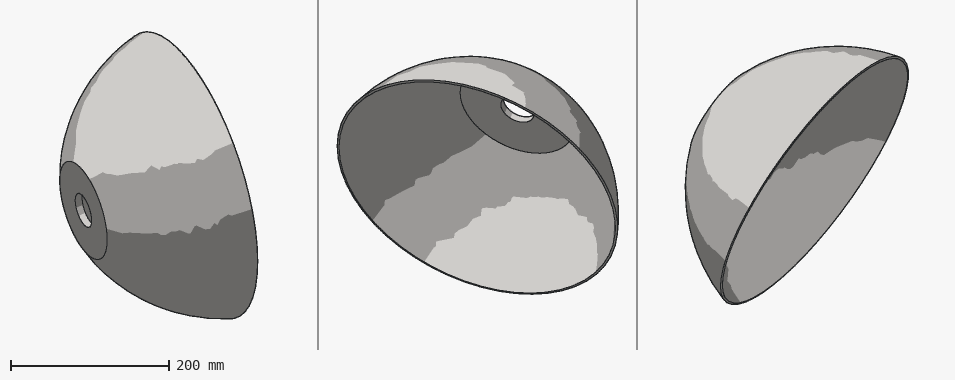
import cadquery as cq
import math

rim_radius = 190.0
bowl_depth = 150.0
base_radius = 65.0
hole_radius = 22.5
floor_thickness = 10.0
wall_thickness = 3.0
rim_rise = 0.8
wall_sagitta = 21.3

base_y = -bowl_depth / 2
rim_y = bowl_depth / 2
outer_rim_y = rim_y - rim_rise
floor_y = base_y + floor_thickness

chord_radial = rim_radius - base_radius
chord_y = outer_rim_y - base_y
chord = math.hypot(chord_radial, chord_y)
outer_arc_radius = (chord**2 / 4 + wall_sagitta**2) / (2 * wall_sagitta)
normal_radial = chord_y / chord
normal_y = -chord_radial / chord
centre_offset = outer_arc_radius - wall_sagitta
arc_centre_radial = (rim_radius + base_radius) / 2 - centre_offset * normal_radial
arc_centre_y = (outer_rim_y + base_y) / 2 - centre_offset * normal_y

inner_arc_radius = outer_arc_radius - wall_thickness


def arc_point(arc_radius, y):
    """Point (radial, y) where a wall arc reaches the given height."""
    radial = arc_centre_radial + math.sqrt(arc_radius**2 - (y - arc_centre_y) ** 2)
    return (radial, y)


section = (
    cq.Workplane("XY")
    .moveTo(hole_radius, base_y)
    .lineTo(base_radius, base_y)
    .threePointArc(arc_point(outer_arc_radius, 0), (rim_radius, outer_rim_y))
    .lineTo(*arc_point(inner_arc_radius, rim_y))
    .threePointArc(arc_point(inner_arc_radius, 0), arc_point(inner_arc_radius, floor_y))
    .lineTo(hole_radius, floor_y)
    .close()
)

result = section.revolve(360, (0, 0, 0), (0, 1, 0))